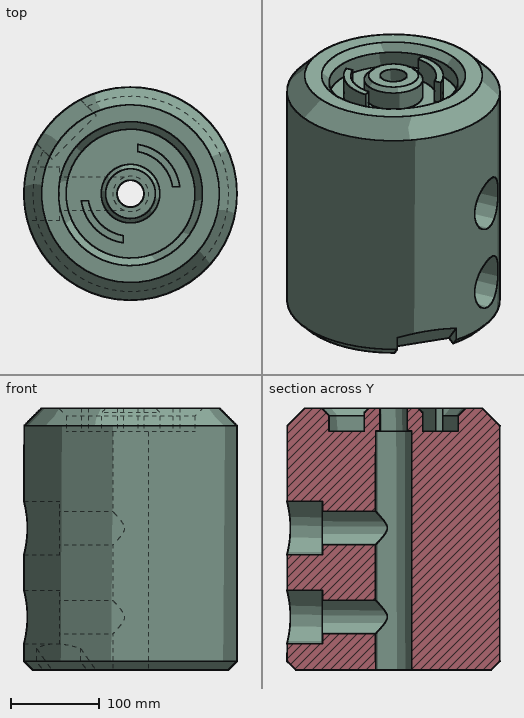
import cadquery as cq

body_radius = 120.0
body_height = 295.0
top_chamfer = 20.0
bottom_chamfer = 10.0

recess_radius = 72.5
recess_depth = 26.0
recess_rim_chamfer = 8.5

post_radius = 33.0
post_chamfer = 5.0
rib_inner_radius = 48.0
rib_outer_radius = 56.0
rib_end_offset = 8.0

post_bore_radius = 15.0
main_bore_radius = 20.0

side_hole_heights = (60.0, 160.0)
side_hole_radius = 18.75
counterbore_radius = 30.0
counterbore_depth = 40.0

notch_width = 70.0
notch_height = 30.0
notch_direction = 135.0


def cylinder(radius, bottom, top):
    return cq.Workplane("XY").workplane(offset=bottom).circle(radius).extrude(top - bottom)


def make_body():
    body = cylinder(body_radius, 0, body_height)
    return body.faces(">Z").chamfer(top_chamfer).faces("<Z").chamfer(bottom_chamfer)


def make_recess():
    """Round pocket volume with a rim that flares outward at 45 degrees."""
    floor = body_height - recess_depth
    rim_radius = recess_radius + recess_rim_chamfer
    profile = (
        cq.Workplane("XZ")
        .moveTo(0, floor)
        .lineTo(recess_radius, floor)
        .lineTo(recess_radius, body_height - recess_rim_chamfer)
        .lineTo(rim_radius, body_height)
        .lineTo(0, body_height)
        .close()
    )
    return profile.revolve(360, (0, 0, 0), (0, 1, 0))


def make_post():
    post = cylinder(post_radius, body_height - recess_depth, body_height)
    return post.faces(">Z").chamfer(post_chamfer)


def make_rib(side):
    """Quarter-ring rib; side is +1 for the (+X, +Y) quadrant, -1 for the (-X, -Y) one."""
    floor = body_height - recess_depth
    ring = cylinder(rib_outer_radius, floor, body_height).cut(
        cylinder(rib_inner_radius, floor, body_height)
    )
    block_center = side * (rib_end_offset + rib_outer_radius / 2)
    quadrant = cq.Workplane("XY").box(
        rib_outer_radius, rib_outer_radius, recess_depth, centered=(True, True, False)
    )
    return ring.intersect(quadrant.translate((block_center, block_center, floor)))


def make_side_hole(height):
    """Counterbored hole running from the -X side to the part's axis."""
    entry = cq.Workplane("YZ", origin=(-body_radius, 0, height))
    hole = entry.circle(side_hole_radius).extrude(body_radius)
    counterbore = entry.circle(counterbore_radius).extrude(counterbore_depth)
    return hole.union(counterbore)


def make_notch():
    """Triangular wedge whose 45 degree face rises outward to the side wall."""
    clearance = 10.0
    inner_edge = body_radius - notch_height
    outer_edge = body_radius + clearance
    profile = [
        (inner_edge - clearance, -clearance),
        (outer_edge, -clearance),
        (outer_edge, notch_height + clearance),
    ]
    wedge = cq.Workplane("XZ").polyline(profile).close().extrude(notch_width / 2, both=True)
    return wedge.rotate((0, 0, 0), (0, 0, 1), notch_direction)


part = make_body().cut(make_recess()).union(make_post())
for rib_side in (1, -1):
    part = part.union(make_rib(rib_side))
part = part.cut(cylinder(post_bore_radius, 0, body_height))
part = part.cut(cylinder(main_bore_radius, 0, body_height - recess_depth))
for hole_height in side_hole_heights:
    part = part.cut(make_side_hole(hole_height))
result = part.cut(make_notch())